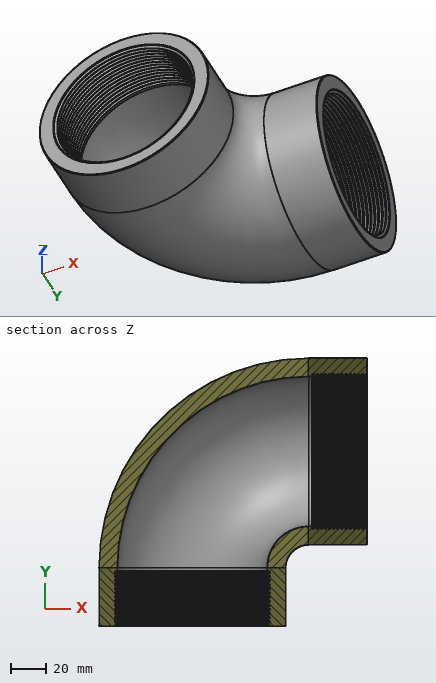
import cadquery as cq

OVERALL = 152.0
OUTER_DIA = 106.0
SOCKET_LENGTH = 33.1
MAJOR_DIA = 87.9
MINOR_DIA = 84.8
THREAD_COUNT = 14
THREAD_FLAT = 0.5
MOUTH_CHAMFER = 0.5
RIM_CHAMFER = 0.5

OUTER_RADIUS = OUTER_DIA / 2
MAJOR_RADIUS = MAJOR_DIA / 2
MINOR_RADIUS = MINOR_DIA / 2
BEND_RADIUS = OVERALL - SOCKET_LENGTH - OUTER_RADIUS
PITCH = (SOCKET_LENGTH - MOUTH_CHAMFER) / THREAD_COUNT
FLANK_LENGTH = PITCH / 2 - THREAD_FLAT
BEND_ANGLE = 90
FULL_TURN = 360



def make_elbow():
    """Plain quarter-torus pipe between the two sockets."""
    return (
        cq.Workplane("XZ")
        .circle(OUTER_RADIUS)
        .circle(MINOR_RADIUS)
        .revolve(BEND_ANGLE, (BEND_RADIUS, 1.5, 0), (BEND_RADIUS, 0, 0))
    )


def make_socket():
    """Socket along -Y from the origin, with flat-crested ring threads inside."""
    profile = (
        cq.Workplane("XY")
        .moveTo(MINOR_RADIUS, 0)
        .lineTo(OUTER_RADIUS, 0)
        .lineTo(OUTER_RADIUS, RIM_CHAMFER - SOCKET_LENGTH)
        .lineTo(OUTER_RADIUS - RIM_CHAMFER, -SOCKET_LENGTH)
        .lineTo(MAJOR_RADIUS + MOUTH_CHAMFER, -SOCKET_LENGTH)
    )
    for i in range(THREAD_COUNT):
        flank_start = MOUTH_CHAMFER - SOCKET_LENGTH + i * PITCH
        crest_start = flank_start + FLANK_LENGTH
        crest_end = crest_start + THREAD_FLAT
        root_start = crest_end + FLANK_LENGTH
        profile = (
            profile.lineTo(MAJOR_RADIUS, flank_start)
            .lineTo(MINOR_RADIUS, crest_start)
            .lineTo(MINOR_RADIUS, crest_end)
        )
        if i < THREAD_COUNT - 1:
            profile = profile.lineTo(MAJOR_RADIUS, root_start)
    return profile.close().revolve(FULL_TURN, (0, 0, 0), (0, 1, 0))


elbow = make_elbow()
socket = make_socket()
sockets = [
    socket,
    socket.rotate((0, 0, 0), (0, 0, 1), BEND_ANGLE).translate((BEND_RADIUS, BEND_RADIUS, 0)),
]

result = cq.Compound.makeCompound([elbow.val(), *[s.val() for s in sockets]])